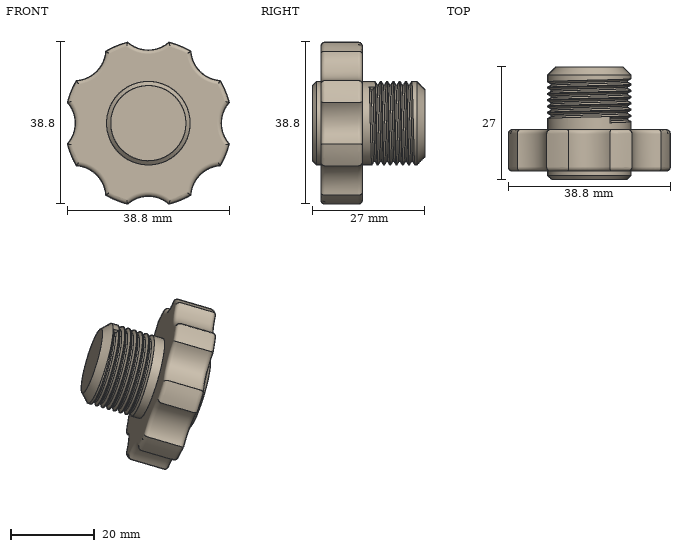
import cadquery as cq
import math

wheel_radius = 20.0
wheel_thickness = 10.0
wheel_edge_fillet = 1.0
scallop_count = 8
scallop_radius = 7.5
scallop_center_radius = 25.0

boss_radius = 10.0
boss_height = 2.0
boss_chamfer = 1.0

shank_radius = 10.0
shank_length = 15.0
shank_chamfer = 2.0

thread_pitch = 1.5
thread_flank_angle = 30.0
groove_mouth_width = thread_pitch - thread_pitch / 8
groove_root_width = thread_pitch / 4
thread_depth = (groove_mouth_width - groove_root_width) / 2 / math.tan(math.radians(thread_flank_angle))
groove_clearance = 0.3
thread_start_offset = 2.25
thread_start_angle = 30.0
thread_end_angle = 270.0
thread_full_turns = 6


def cylinder_along_y(radius, y_start, length):
    """Cylinder on the Y axis from y_start to y_start + length."""
    return cq.Workplane("XZ", origin=(0, y_start, 0)).circle(radius).extrude(-length)


def make_wheel():
    """Scalloped disc with rounded rims on both faces."""
    wheel = cylinder_along_y(wheel_radius, 0, wheel_thickness)
    scallops = (
        cq.Workplane("XZ")
        .polarArray(scallop_center_radius, 0, 360, scallop_count)
        .circle(scallop_radius)
        .extrude(-wheel_thickness)
    )
    return wheel.cut(scallops).faces("<Y or >Y").edges().fillet(wheel_edge_fillet)


def make_boss():
    """Chamfered front boss."""
    boss = cylinder_along_y(boss_radius, -boss_height, boss_height)
    return boss.faces("<Y").edges().chamfer(boss_chamfer)


def make_shank():
    """Plain shank with a chamfered free end."""
    shank = cylinder_along_y(shank_radius, wheel_thickness, shank_length)
    return shank.faces(">Y").edges().chamfer(shank_chamfer)


def make_thread_groove():
    """Helical cutter, built about +Z from the +X side and then turned onto the Y axis."""
    unturned_start_angle = 90
    turns = thread_full_turns + (thread_end_angle - thread_start_angle) / 360
    root_radius = shank_radius - thread_depth
    cutter_radius = shank_radius + groove_clearance
    half_mouth = groove_mouth_width / 2
    half_root = groove_root_width / 2
    helix = cq.Workplane(cq.Wire.makeHelix(thread_pitch, turns * thread_pitch, shank_radius))
    outline = [
        (root_radius, -half_root),
        (shank_radius, -half_mouth),
        (cutter_radius, -half_mouth),
        (cutter_radius, half_mouth),
        (shank_radius, half_mouth),
        (root_radius, half_root),
    ]
    profile = cq.Workplane("XZ").polyline(outline).close()
    groove = profile.sweep(helix, isFrenet=True)
    return (
        groove.rotate((0, 0, 0), (1, 0, 0), -90)
        .rotate((0, 0, 0), (0, 1, 0), thread_start_angle - unturned_start_angle)
        .translate((0, wheel_thickness + thread_start_offset, 0))
    )


shank = make_shank().cut(make_thread_groove())
result = make_wheel().union(make_boss()).union(shank)